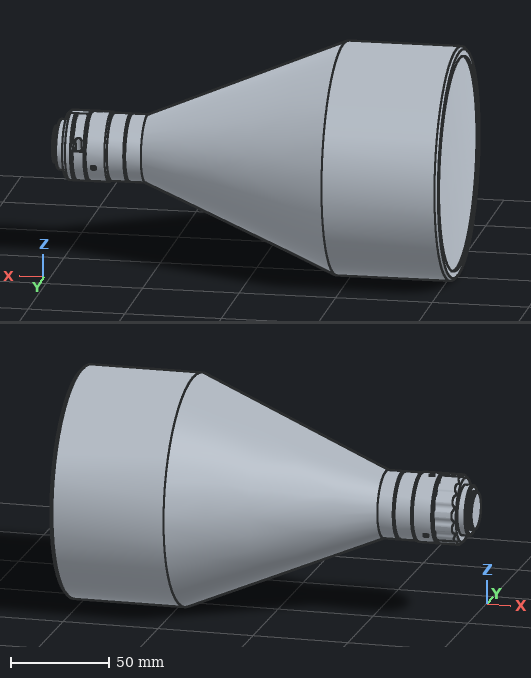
import cadquery as cq
import math


barrel_radius = 60.0
barrel_end = 60.0
barrel_chamfer = 1.5
cone_end = 161.4

neck_radius = 17.5
neck_groove_depth = 0.4
neck_groove_start = 169.5
neck_groove_width = 1.0
neck_end = 179.1
neck_end_step = 0.5

ring_radius = 18.0
ring_start = 180.2
ring_end = 189.9
ring_hole_diameter = 2.6
ring_hole_depth = 1.5
ring_hole_x = 186.1
ring_hole_count = 3
ring_hole_first_angle = 97.0

gap_radius = 16.2

clamp_radius = ring_radius
clamp_start = 191.1
clamp_taper_start = 200.6
clamp_end = 202.4
clamp_taper_depth = 1.5

flute_count = 7
flute_first_angle = 87.0
flute_pitch_angle = 25.0
flute_floor_radius = 17.2
flute_mouth_width = 5.2

clamp_middle_angle = flute_first_angle + (flute_count - 1) / 2 * flute_pitch_angle - 180

clamp_slot_start = 196.7
clamp_slot_width = 1.3
clamp_slot_half_sweep = 93.0

notch_wall_distance = 13.5
notch_floor_height = 7.0
screw_bore_diameter = 3.5
screw_bore_distance = 14.4
screw_bore_depth = notch_floor_height
screw_bore_x = (clamp_start + clamp_slot_start) / 2

flange_radius = 13.0
flange_end = 206.8
flange_chamfer = 0.7
spigot_radius = 9.9
spigot_end = 208.94
spigot_step_radius = 9.4
spigot_step_start = 207.9

lens_radius = 55.0
lens_rim_recess = 1.0
lens_bulge = 1.0
lens_back = 10.0

cut_clearance = 1.0


def place_at_angle(shape, angle):
    """Turn a shape built at +Y around the optical axis to the given angle."""
    return shape.rotate((0, 0, 0), (1, 0, 0), angle)


def ring_hole(angle):
    """Cutter for one blind round hole drilled into the iris ring toward the axis."""
    hole = (
        cq.Workplane("XZ", origin=(ring_hole_x, ring_radius - ring_hole_depth, 0))
        .circle(ring_hole_diameter / 2)
        .extrude(-(ring_hole_depth + cut_clearance))
    )
    return place_at_angle(hole, angle)


def turned_housing():
    """Turned body of the housing, revolved about the optical axis."""
    profile = [
        (0, 0),
        (0, barrel_radius - barrel_chamfer),
        (barrel_chamfer, barrel_radius),
        (barrel_end, barrel_radius),
        (cone_end, neck_radius),
        (neck_groove_start, neck_radius),
        (neck_groove_start + neck_groove_width / 2, neck_radius - neck_groove_depth),
        (neck_groove_start + neck_groove_width, neck_radius),
        (neck_end, neck_radius),
        (neck_end, neck_radius - neck_end_step),
        (ring_start, ring_radius),
        (ring_end, ring_radius),
        (ring_end, gap_radius),
        (clamp_start, gap_radius),
        (clamp_start, clamp_radius),
        (clamp_taper_start, clamp_radius),
        (clamp_end, clamp_radius - clamp_taper_depth),
        (clamp_end, flange_radius),
        (flange_end - flange_chamfer, flange_radius),
        (flange_end, flange_radius - flange_chamfer),
        (flange_end, spigot_radius),
        (spigot_step_start, spigot_radius),
        (spigot_step_start, spigot_step_radius),
        (spigot_end, spigot_step_radius),
        (spigot_end, 0),
    ]
    return cq.Workplane("XY").polyline(profile).close().revolve(360, (0, 0, 0), (1, 0, 0))


def flute(angle):
    """Cutter for one grip flute; its floor and edges are equal arcs that meet smoothly."""
    half_mouth = flute_mouth_width / 2
    mouth_height = math.sqrt(clamp_radius**2 - half_mouth**2)
    half_floor = half_mouth / 2
    blend_height = (mouth_height + flute_floor_radius) / 2
    arc_radius = (half_floor**2 + (blend_height - flute_floor_radius) ** 2) / (
        2 * (blend_height - flute_floor_radius)
    )
    edge_mid = half_mouth - half_floor / 2
    edge_mid_height = mouth_height - arc_radius + math.sqrt(arc_radius**2 - (half_floor / 2) ** 2)
    top = clamp_radius + cut_clearance
    cutter = (
        cq.Workplane("YZ", origin=(clamp_start, 0, 0))
        .moveTo(blend_height, -half_floor)
        .threePointArc((flute_floor_radius, 0), (blend_height, half_floor))
        .threePointArc((edge_mid_height, edge_mid), (mouth_height, half_mouth))
        .lineTo(top, half_mouth)
        .lineTo(top, -half_mouth)
        .lineTo(mouth_height, -half_mouth)
        .threePointArc((edge_mid_height, -edge_mid), (blend_height, -half_floor))
        .close()
        .extrude(clamp_end - clamp_start)
    )
    return place_at_angle(cutter, angle)


def clamp_slot():
    """Cutter for the slot around the smooth stretch of the clamp ring."""
    slot = (
        cq.Workplane("XY")
        .moveTo(clamp_slot_start, gap_radius)
        .rect(clamp_slot_width, clamp_radius + cut_clearance - gap_radius, centered=False)
        .revolve(2 * clamp_slot_half_sweep, (0, 0, 0), (1, 0, 0))
    )
    return place_at_angle(slot, clamp_middle_angle - clamp_slot_half_sweep)


def clamp_screw_notch():
    """Cutter for the notch between the gap and the slot, with the screw bore in its floor."""
    notch = cq.Workplane("XY").box(
        clamp_slot_start - clamp_start, clamp_radius, clamp_radius, centered=False
    )
    notch = notch.translate((clamp_start, notch_wall_distance, notch_floor_height))
    bore_bottom = notch_floor_height - screw_bore_depth
    bore = (
        cq.Workplane("XY", origin=(screw_bore_x, screw_bore_distance, bore_bottom))
        .circle(screw_bore_diameter / 2)
        .extrude(screw_bore_depth + clamp_radius)
    )
    return place_at_angle(notch.union(bore), clamp_middle_angle)


def make_lens():
    """Plano-convex front lens, its spherical face toward -X."""
    rim_x = lens_rim_recess
    apex_x = lens_rim_recess - lens_bulge
    sphere_radius = (lens_radius**2 + lens_bulge**2) / (2 * lens_bulge)
    mid_y = lens_radius / 2
    mid_x = apex_x + sphere_radius - math.sqrt(sphere_radius**2 - mid_y**2)
    return (
        cq.Workplane("XY")
        .moveTo(apex_x, 0)
        .threePointArc((mid_x, mid_y), (rim_x, lens_radius))
        .lineTo(lens_back, lens_radius)
        .lineTo(lens_back, 0)
        .close()
        .revolve(360, (0, 0, 0), (1, 0, 0))
    )


def make_housing():
    """Housing with its lens seat, grip flutes, ring holes and clamp cuts."""
    housing = turned_housing()
    lens_seat = cq.Workplane("YZ").circle(lens_radius).extrude(lens_back)
    housing = housing.cut(lens_seat)
    for i in range(flute_count):
        housing = housing.cut(flute(flute_first_angle + i * flute_pitch_angle))
    for i in range(ring_hole_count):
        housing = housing.cut(ring_hole(ring_hole_first_angle + i * 360 / ring_hole_count))
    housing = housing.cut(clamp_slot())
    return housing.cut(clamp_screw_notch())


housing = make_housing()
lens = make_lens()

result = cq.Compound.makeCompound([housing.val(), lens.val()])